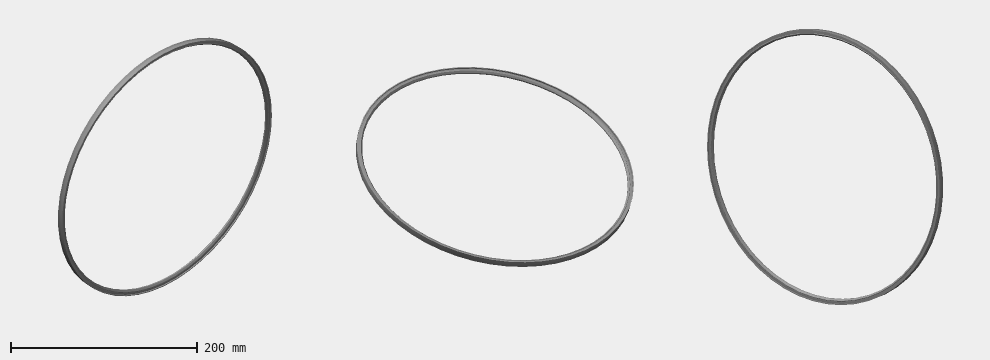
import cadquery as cq

width = 7.0
outer_diameter = 303.0
groove_outer_diameter = 301.0
inner_diameter = 291.0
groove_depth = 1.45
crest_recess = 1.05
crest_width = 0.3
inner_chamfer = 1.67

outer_radius = outer_diameter / 2
inner_radius = inner_diameter / 2
groove_outer_radius = groove_outer_diameter / 2
rim_x = width / 2
floor_x = rim_x - groove_depth
crest_x = rim_x - crest_recess
crest_inner_radius = inner_radius + inner_chamfer
crest_outer_radius = crest_inner_radius + crest_width
groove_inner_radius = crest_outer_radius + crest_x - floor_x

side_profile = [
    (crest_x - inner_chamfer, inner_radius),
    (crest_x, crest_inner_radius),
    (crest_x, crest_outer_radius),
    (floor_x, groove_inner_radius),
    (floor_x, groove_outer_radius),
    (rim_x, groove_outer_radius),
    (rim_x, outer_radius),
]

mirrored_profile = [(-x, radius) for x, radius in reversed(side_profile)]

section = cq.Workplane("XY").polyline(side_profile + mirrored_profile).close()
result = section.revolve(360, (0, 0, 0), (1, 0, 0))